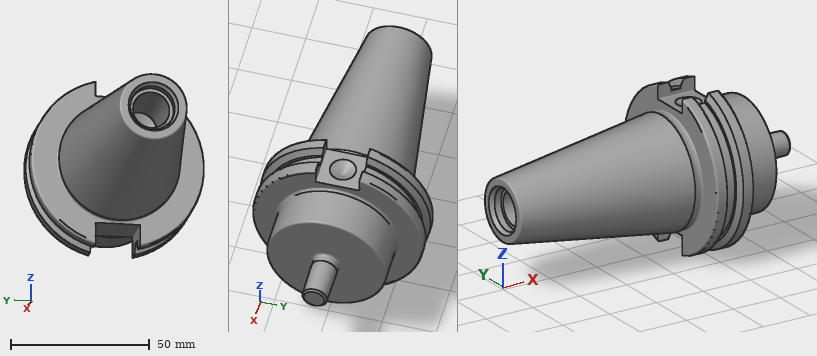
import cadquery as cq
import math

TOTAL_LENGTH = 120.4
TAPER_LENGTH = 68.1
RELIEF_START = 69.8
FLANGE_START = 71.5
FLANGE_END = 87.3
BODY_END = 103.1
PIN_NECK_END = 105.7
PIN_SHOULDER = 106.3

BODY_RADIUS = 44.4 / 2
RELIEF_RADIUS = 43.6 / 2
FLANGE_RADIUS = 31.7
PIN_NECK_RADIUS = 9.3 / 2
PIN_RADIUS = 4.8
PIN_TIP_RADIUS = 4.6
TAPER_RATIO = 7 / 24
SMALL_END_RADIUS = BODY_RADIUS - TAPER_LENGTH * TAPER_RATIO / 2

SMALL_END_ROUND = 0.7
RELIEF_FILLET = 0.6
FLANGE_ROUND = 0.8
BODY_FILLET = 1.0
BODY_ROUND = 0.7
PIN_FILLET = 1.0
PIN_CHAMFER = 0.7

GROOVE_START = 75.8
GROOVE_END = 82.7
GROOVE_FLANK_WIDTH = 1.5
GROOVE_FLANK_DEPTH = GROOVE_FLANK_WIDTH * math.tan(math.radians(60))
GROOVE_BOTTOM_RADIUS = 28.2

SLOT_WIDTH = 16.2
UPPER_SLOT_FLOOR = 24.9
LOWER_SLOT_FLOOR = 22.6
SLOT_FLOOR_FILLET = 0.4
SLOT_EDGE_CHAMFER = 0.1
DIMPLE_RADIUS = 9.5 / 2
DIMPLE_X = (FLANGE_START + FLANGE_END) / 2

BORE_MOUTH_RADIUS = 9.1
PILOT_RADIUS = 16.2 / 2
MOUTH_DEPTH = 1.8
PILOT_DEPTH = 4.6
DRILL_RADIUS = 13.4 / 2
DRILL_DEPTH = 30.1
DRILL_POINT_HALF_ANGLE = math.radians(59)


def cone_depth(radius):
    """Depth of a drill point of the given radius."""
    return radius / math.tan(DRILL_POINT_HALF_ANGLE)


def revolve_about_x(profile):
    return profile.close().revolve(360, (0, 0, 0), (1, 0, 0))


def corner_arc(profile, start, end, center):
    """Line to start, then an arc from start to end, bulging away from its center point."""
    radius = math.dist(start, center)
    across = (start[0] + end[0] - 2 * center[0], start[1] + end[1] - 2 * center[1])
    scale = radius / math.hypot(*across)
    middle = (center[0] + across[0] * scale, center[1] + across[1] * scale)
    return profile.lineTo(*start).threePointArc(middle, end)


def face_to_rim(profile, x, radius, size):
    """Convex round from a face at x, facing -X, onto a cylinder."""
    return corner_arc(profile, (x, radius - size), (x + size, radius), (x + size, radius - size))


def rim_to_face(profile, x, radius, size):
    """Convex round from a cylinder onto a face at x, facing +X."""
    return corner_arc(profile, (x - size, radius), (x, radius - size), (x - size, radius - size))


def cylinder_to_wall(profile, x, radius, size):
    """Concave fillet from a cylinder up the wall at x."""
    return corner_arc(profile, (x - size, radius), (x, radius + size), (x - size, radius + size))


def wall_to_cylinder(profile, x, radius, size):
    """Concave fillet from the wall at x down onto a cylinder."""
    return corner_arc(profile, (x, radius + size), (x + size, radius), (x + size, radius + size))


def turned_shape():
    slope = math.atan(TAPER_RATIO / 2)
    round_center_radius = SMALL_END_RADIUS - SMALL_END_ROUND * (1 / math.cos(slope) - math.tan(slope))
    round_center = (SMALL_END_ROUND, round_center_radius)
    round_end = (
        SMALL_END_ROUND * (1 - math.sin(slope)),
        round_center_radius + SMALL_END_ROUND * math.cos(slope),
    )
    profile = corner_arc(cq.Workplane("XY"), (0, round_center_radius), round_end, round_center)
    profile = (
        profile.lineTo(TAPER_LENGTH, BODY_RADIUS)
        .lineTo(RELIEF_START, RELIEF_RADIUS)
    )
    profile = cylinder_to_wall(profile, FLANGE_START, RELIEF_RADIUS, RELIEF_FILLET)
    profile = face_to_rim(profile, FLANGE_START, FLANGE_RADIUS, FLANGE_ROUND)
    profile = rim_to_face(profile, FLANGE_END, FLANGE_RADIUS, FLANGE_ROUND)
    profile = wall_to_cylinder(profile, FLANGE_END, BODY_RADIUS, BODY_FILLET)
    profile = rim_to_face(profile, BODY_END, BODY_RADIUS, BODY_ROUND)
    profile = wall_to_cylinder(profile, BODY_END, PIN_NECK_RADIUS, PIN_FILLET)
    profile = (
        profile.lineTo(PIN_NECK_END, PIN_NECK_RADIUS)
        .lineTo(PIN_SHOULDER, PIN_RADIUS)
        .lineTo(TOTAL_LENGTH - PIN_CHAMFER, PIN_TIP_RADIUS)
        .lineTo(TOTAL_LENGTH, PIN_TIP_RADIUS - PIN_CHAMFER)
        .lineTo(TOTAL_LENGTH, 0)
    )
    return revolve_about_x(profile)


def gripper_groove():
    flank_end_radius = FLANGE_RADIUS - GROOVE_FLANK_DEPTH
    bottom_start = GROOVE_START + GROOVE_FLANK_WIDTH
    bottom_end = GROOVE_END - GROOVE_FLANK_WIDTH
    clear_radius = FLANGE_RADIUS + 1.2
    profile = cq.Workplane("XY").polyline([
        (GROOVE_START, clear_radius),
        (GROOVE_START, FLANGE_RADIUS),
        (bottom_start, flank_end_radius),
        (bottom_start, GROOVE_BOTTOM_RADIUS),
        (bottom_end, GROOVE_BOTTOM_RADIUS),
        (bottom_end, flank_end_radius),
        (GROOVE_END, FLANGE_RADIUS),
        (GROOVE_END, clear_radius),
    ])
    return revolve_about_x(profile)


def drive_slot(floor):
    """Upward slot through the flange with rounded floor corners and a mouth flared at 45 degrees."""
    half_width = SLOT_WIDTH / 2
    land_height = math.sqrt(FLANGE_RADIUS**2 - half_width**2)
    flare_start = land_height - SLOT_EDGE_CHAMFER
    flare_height = FLANGE_RADIUS - flare_start
    flare_half_width = half_width + flare_height
    return (
        cq.Workplane("YZ", origin=(FLANGE_START, 0, 0))
        .polyline([
            (-half_width, floor),
            (half_width, floor),
            (half_width, flare_start),
            (flare_half_width, FLANGE_RADIUS),
            (-flare_half_width, FLANGE_RADIUS),
            (-half_width, flare_start),
        ])
        .close()
        .extrude(FLANGE_END - FLANGE_START)
        .edges("|X and <Z")
        .fillet(SLOT_FLOOR_FILLET)
    )


def dimple():
    point_depth = cone_depth(DIMPLE_RADIUS)
    tip = cq.Vector(DIMPLE_X, 0, UPPER_SLOT_FLOOR - point_depth)
    return cq.Workplane(cq.Solid.makeCone(0, DIMPLE_RADIUS, point_depth, tip))


def stepped_bore():
    profile = cq.Workplane("XY").polyline([
        (0, 0),
        (0, BORE_MOUTH_RADIUS),
        (MOUTH_DEPTH, PILOT_RADIUS),
        (PILOT_DEPTH, PILOT_RADIUS),
        (PILOT_DEPTH, DRILL_RADIUS),
        (DRILL_DEPTH, DRILL_RADIUS),
        (DRILL_DEPTH + cone_depth(DRILL_RADIUS), 0),
    ])
    return revolve_about_x(profile)


lower_slot = drive_slot(LOWER_SLOT_FLOOR).rotate((0, 0, 0), (1, 0, 0), 180)

result = turned_shape().cut(gripper_groove())
result = result.cut(drive_slot(UPPER_SLOT_FLOOR)).cut(lower_slot)
result = result.cut(dimple()).cut(stepped_bore())